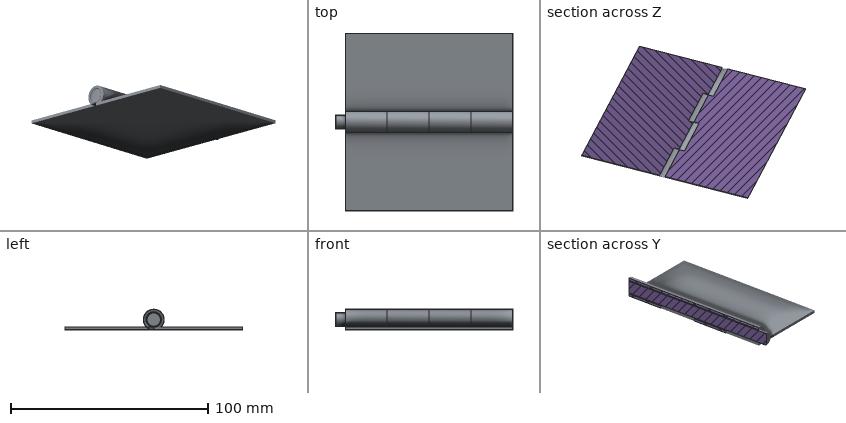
import cadquery as cq

leaf_length = 85.0
leaf_width = 45.0
barrel_diameter = 10.5
bore_diameter = 7.5
pin_diameter = 7.0
pin_protrusion = 4.95
knuckle_count = 4

barrel_radius = barrel_diameter / 2
axis_height = barrel_radius
leaf_thickness = (barrel_diameter - bore_diameter) / 2
knuckle_length = leaf_length / knuckle_count


def cylinder(diameter, start, length):
    """Solid cylinder on the hinge axis, from X = start."""
    plane = cq.Workplane("YZ", origin=(start, 0, axis_height))
    return plane.circle(diameter / 2).extrude(length)


def plate(side, start, length):
    """Flat strip from the hinge axis to the free edge on the given Y side."""
    strip = cq.Workplane("XY").box(length, leaf_width, leaf_thickness, centered=(False, True, False))
    return strip.translate((start, side * leaf_width / 2, 0))


def knuckle(side, start):
    """Rolled tube that starts at the leaf and ends above the opposite leaf."""
    tube = cylinder(barrel_diameter, start, knuckle_length)
    return tube.cut(plate(-side, start, knuckle_length))


def make_leaf(side, first_knuckle):
    """Leaf with every second knuckle, recessed around the other leaf's knuckles."""
    leaf = plate(side, 0, leaf_length)
    for index in range(knuckle_count):
        start = index * knuckle_length
        if index % 2 == first_knuckle:
            leaf = leaf.union(knuckle(side, start))
        else:
            leaf = leaf.cut(cylinder(barrel_diameter, start, knuckle_length))
    return leaf.cut(cylinder(bore_diameter, 0, leaf_length)).solids()


def make_pin():
    """Plain pin, flush with the far end of the barrel."""
    return cylinder(pin_diameter, -pin_protrusion, leaf_length + pin_protrusion)


front_leaf = make_leaf(side=-1, first_knuckle=0)
rear_leaf = make_leaf(side=1, first_knuckle=1)
pin = make_pin()

result = cq.Compound.makeCompound([front_leaf.val(), rear_leaf.val(), pin.val()])